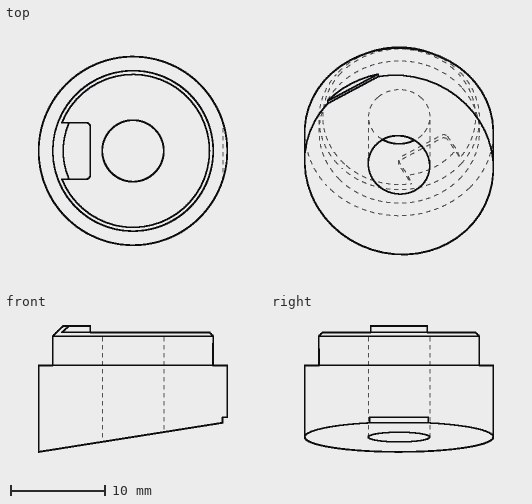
import cadquery as cq
import math


BODY_RADIUS = 10.0
BODY_DEPTH_SHORT_SIDE = 6.0
SLANT_ANGLE = 9.0

SPIGOT_RADIUS = 8.5
SPIGOT_HEIGHT = 3.5
SPIGOT_CHAMFER = 0.4

BORE_DIAMETER = 6.5

KEY_HEIGHT = 0.7
KEY_WIDTH = 6.0
KEY_INNER_X = -4.5
KEY_CORNER_RADIUS = 0.5

NOTCH_FLAT_X = 9.5
NOTCH_CEILING_DEPTH = 5.5

body_depth_long_side = BODY_DEPTH_SHORT_SIDE + 2 * BODY_RADIUS * math.tan(math.radians(SLANT_ANGLE))
key_top = SPIGOT_HEIGHT + KEY_HEIGHT


def make_body():
    """Round body cut off by the slanted underside, sloping down towards -X."""
    side_profile = [
        (-BODY_RADIUS, 0),
        (BODY_RADIUS, 0),
        (BODY_RADIUS, -BODY_DEPTH_SHORT_SIDE),
        (-BODY_RADIUS, -body_depth_long_side),
    ]
    wedge = cq.Workplane("XZ").polyline(side_profile).close().extrude(BODY_RADIUS, both=True)
    cylinder = cq.Workplane("XY").circle(BODY_RADIUS).extrude(-body_depth_long_side)
    return cylinder.intersect(wedge)


def make_notch():
    """Block that trims the thin lower edge of the body at +X."""
    length = BODY_RADIUS - NOTCH_FLAT_X
    height = body_depth_long_side - NOTCH_CEILING_DEPTH
    return (
        cq.Workplane("XY", origin=(NOTCH_FLAT_X, 0, -body_depth_long_side))
        .box(length, 2 * BODY_RADIUS, height, centered=(False, True, False))
    )


def make_key():
    """Raised key at -X with its two inner corners rounded."""
    length = BODY_RADIUS + KEY_INNER_X
    return (
        cq.Workplane("XY", origin=(-BODY_RADIUS, 0, 0))
        .box(length, KEY_WIDTH, key_top, centered=(False, True, False))
        .edges("|Z and >X")
        .fillet(KEY_CORNER_RADIUS)
    )


def make_spigot():
    """Spigot and key, both bounded by one 45 degree conical top edge."""
    envelope_chamfer = SPIGOT_CHAMFER + KEY_HEIGHT
    envelope = (
        cq.Workplane("XY")
        .circle(SPIGOT_RADIUS)
        .extrude(key_top)
        .faces(">Z")
        .chamfer(envelope_chamfer)
    )
    disc = cq.Workplane("XY").circle(SPIGOT_RADIUS).extrude(SPIGOT_HEIGHT)
    return disc.union(make_key()).intersect(envelope)


def make_bore():
    """Through hole along the Z axis."""
    return (
        cq.Workplane("XY", origin=(0, 0, -body_depth_long_side))
        .circle(BORE_DIAMETER / 2)
        .extrude(body_depth_long_side + key_top)
    )


result = make_body().cut(make_notch()).union(make_spigot()).cut(make_bore())